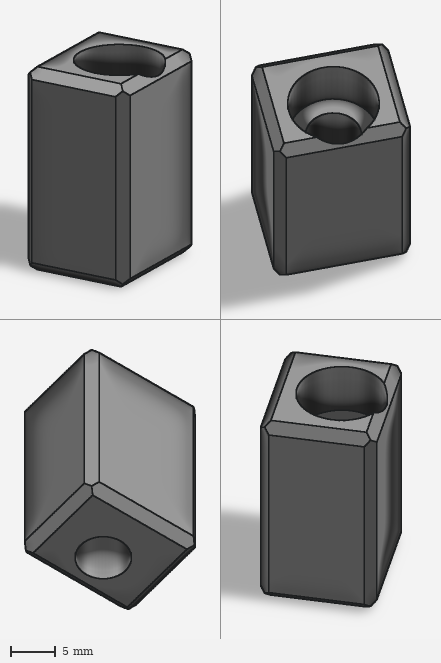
import cadquery as cq

width = 13.5
depth = 15.9
height = 24.5
edge_chamfer = 1.2

hole_offset = 1.25
through_diameter = 6.4
counterbore_diameter = 10.4
counterbore_depth = 6.1


def bevelled_prism(axis):
    """Block with only the four edges parallel to the given axis bevelled."""
    return cq.Workplane("XY").box(width, depth, height).edges("|" + axis).chamfer(edge_chamfer)


def chamfered_block():
    """Block with every edge bevelled, three bevels meeting at a point at each corner."""
    return bevelled_prism("X").intersect(bevelled_prism("Y")).intersect(bevelled_prism("Z"))


def stepped_hole():
    """Cutter for the through hole and its counterbore in the top face."""
    bore = (
        cq.Workplane("XY", origin=(hole_offset, 0, -height / 2))
        .circle(through_diameter / 2)
        .extrude(height)
    )
    counterbore = (
        cq.Workplane("XY", origin=(hole_offset, 0, height / 2 - counterbore_depth))
        .circle(counterbore_diameter / 2)
        .extrude(counterbore_depth)
    )
    return bore.union(counterbore)


result = chamfered_block().cut(stepped_hole())